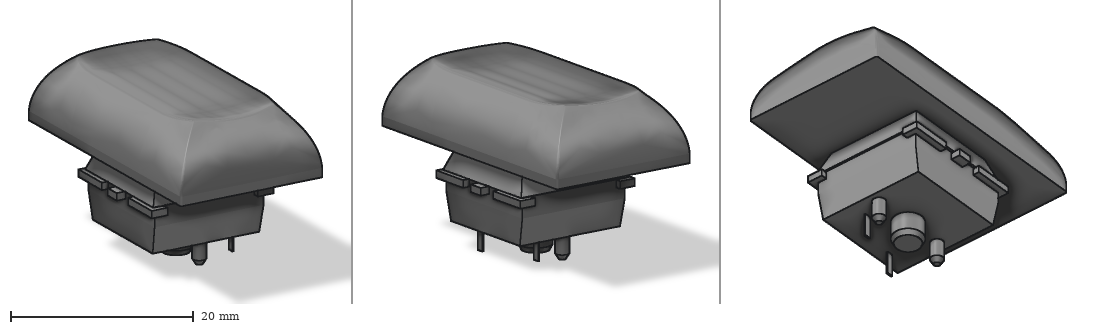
import cadquery as cq
import math

Z_BODY_BOTTOM = 2.9
Z_BODY_BREAK = 6.2
Z_FLANGE_BOTTOM = 7.63
Z_FLANGE_TOP = 8.5
Z_NECK_BOTTOM = 8.6
Z_CAP_BOTTOM = 11.9
Z_CAP_EDGE = 13.0
Z_DOME_BLANK = 20.28

CAP_LENGTH = 32.45
CAP_WIDTH = 18.2
CAP_CORNER_RADIUS = 0.25
STRAIGHT_HALF = 7.15
WALL_RADIUS = 11.03
WALL_LEAN = 3.0
CORNER_INSET_X = 1.36
CORNER_INSET_Y = 1.4
DOME_SECTIONS = 5
MARGIN = 0.32

DISH_FLOOR = 18.98
DISH_RADIUS = 29.2
DISH_END_RADIUS = 27.25
DISH_HALF_WIDTH = 9.75
DISH_TOP = 24.65
DISH_END_ANGLE = 30.0
RIM_FILLET = 0.35

SWITCH_Y = 0.05
NECK_TOP = (11.68, 12.15)
NECK_BASE = (14.47, 14.55)
BODY_TOP = (14.05, 13.95)
BODY_BASE = (12.72, 13.63)
FLANGE_SIDE = 15.58
FLANGE_GAP_X = 5.58
FLANGE_GAP_Y = 11.55
TAB_WIDTH = 1.85
TAB_SPAN = 16.3

POST_DIAMETER = 3.8
POST_TIP_DIAMETER = 3.15
PEG_DIAMETER = 1.6
PEG_TIP_DIAMETER = 0.78
PEG_X = 4.93
TIP_HEIGHT = 0.65
TERMINAL_WIDTH = 0.8
TERMINAL_THICKNESS = 0.2
TERMINALS = [(-3.8, 2.65), (3.05, 5.22)]


def box(size_x, size_y, z_low, z_high):
    """Box centred on the Z axis between two heights."""
    return cq.Workplane("XY").workplane(offset=z_low).rect(size_x, size_y).extrude(z_high - z_low)


def frustum(base, z_base, top, z_top):
    """Rectangular block tapering from a base rectangle to a top rectangle."""
    lower = cq.Workplane("XY").workplane(offset=z_base).rect(*base)
    return lower.workplane(offset=z_top - z_base).rect(*top).loft(ruled=True)


def wall_inset(height):
    """Inward offset of the circular wall profile at a height above the cap edge."""
    lean = math.radians(WALL_LEAN)
    reach = height + WALL_RADIUS * math.sin(lean)
    return WALL_RADIUS * math.cos(lean) - math.sqrt(WALL_RADIUS**2 - reach**2)


def dome_outline(z):
    """Closed outline of the dome: straight long sides, bowed ends and pointed corners."""
    inset = wall_inset(z - Z_CAP_EDGE)
    end_x = CAP_LENGTH / 2 - inset
    side_y = CAP_WIDTH / 2 - inset
    corner_x = CAP_LENGTH / 2 - CORNER_INSET_X * inset
    corner_y = CAP_WIDTH / 2 - CORNER_INSET_Y * inset

    def curve(*points, tangents=None):
        return cq.Edge.makeSpline([cq.Vector(x, y, z) for x, y in points], tangents=tangents)

    def shoulder(sign_x, sign_y):
        start = (sign_x * STRAIGHT_HALF, sign_y * side_y)
        corner = (sign_x * corner_x, sign_y * corner_y)
        slope = 2 * (side_y - corner_y) / (corner_x - STRAIGHT_HALF)
        tangents = [cq.Vector(sign_x, 0, 0), cq.Vector(sign_x, -sign_y * slope, 0)]
        return curve(start, corner, tangents=tangents)

    def straight(sign_y):
        y = sign_y * side_y
        return cq.Edge.makeLine(cq.Vector(-STRAIGHT_HALF, y, z), cq.Vector(STRAIGHT_HALF, y, z))

    def end(sign_x):
        corner = sign_x * corner_x
        return curve((corner, -corner_y), (sign_x * end_x, 0), (corner, corner_y))

    edges = [straight(-1), shoulder(1, -1), end(1), shoulder(1, 1)]
    edges += [straight(1), shoulder(-1, 1), end(-1), shoulder(-1, -1)]
    return cq.Wire.assembleEdges(edges)


def dish_cutter():
    """Trough along X whose two ends curve upwards."""
    edge_z = DISH_FLOOR + DISH_RADIUS - math.sqrt(DISH_RADIUS**2 - DISH_HALF_WIDTH**2)

    def profile():
        section = cq.Workplane("YZ", origin=(STRAIGHT_HALF, 0, 0))
        section = section.moveTo(-DISH_HALF_WIDTH, edge_z)
        section = section.threePointArc((0, DISH_FLOOR), (DISH_HALF_WIDTH, edge_z))
        return section.lineTo(DISH_HALF_WIDTH, DISH_TOP).lineTo(-DISH_HALF_WIDTH, DISH_TOP).close()

    middle = profile().extrude(-2 * STRAIGHT_HALF)
    axis_z = DISH_FLOOR + DISH_END_RADIUS
    end = profile().revolve(DISH_END_ANGLE, (0.32, axis_z, 0), (-0.32, axis_z, 0))
    return middle.union(end).union(end.mirror("YZ"))


def is_upright(edge):
    """True for an edge that climbs from one height to another."""
    return abs(edge.endPoint().z - edge.startPoint().z) > MARGIN


def edges_within(part, near, far):
    """Edges lying entirely inside the box spanned by two points."""
    return part.edges(cq.selectors.BoxSelector(near, far, boundingbox=True))


def keycap():
    plate = box(CAP_LENGTH, CAP_WIDTH, Z_CAP_BOTTOM, Z_CAP_EDGE)
    step = (Z_DOME_BLANK - Z_CAP_EDGE) / (DOME_SECTIONS - 1)
    outlines = [dome_outline(Z_CAP_EDGE + i * step) for i in range(DOME_SECTIONS)]
    cap = plate.union(cq.Workplane(cq.Solid.makeLoft(outlines)))
    low = Z_CAP_BOTTOM - MARGIN
    high = Z_DOME_BLANK + MARGIN
    reach_x = CAP_LENGTH / 2 + MARGIN
    reach_y = CAP_WIDTH / 2 + MARGIN
    for side_x in (-1, 1):
        for side_y in (-1, 1):
            near = (side_x * STRAIGHT_HALF, 0, low)
            far = (side_x * reach_x, side_y * reach_y, high)
            corner = edges_within(cap, near, far).filter(is_upright)
            cap = corner.fillet(CAP_CORNER_RADIUS)
    cap = cap.cut(dish_cutter())
    rim = edges_within(cap, (-reach_x, -reach_y, DISH_FLOOR), (reach_x, reach_y, high))
    return rim.fillet(RIM_FILLET)


def flange():
    """Four corner lugs and a middle tab on each long side."""
    ring = box(FLANGE_SIDE, FLANGE_SIDE, Z_FLANGE_BOTTOM, Z_FLANGE_TOP)
    ring = ring.cut(box(FLANGE_GAP_X, TAB_SPAN, Z_FLANGE_BOTTOM, Z_FLANGE_TOP))
    ring = ring.cut(box(TAB_SPAN, FLANGE_GAP_Y, Z_FLANGE_BOTTOM, Z_FLANGE_TOP))
    return ring.union(box(TAB_WIDTH, TAB_SPAN, Z_FLANGE_BOTTOM, Z_FLANGE_TOP))


def pin(x, diameter, tip_diameter):
    """Round pin below the body with a conical tip."""
    shaft = cq.Workplane("XY", origin=(x, 0, 0)).circle(diameter / 2).extrude(Z_BODY_BOTTOM)
    return shaft.faces("<Z").chamfer(TIP_HEIGHT, (diameter - tip_diameter) / 2)


def switch():
    solid = frustum(BODY_BASE, Z_BODY_BOTTOM, BODY_TOP, Z_BODY_BREAK)
    solid = solid.union(box(*BODY_TOP, Z_BODY_BREAK, Z_NECK_BOTTOM))
    solid = solid.union(frustum(NECK_BASE, Z_NECK_BOTTOM, NECK_TOP, Z_CAP_BOTTOM))
    solid = solid.union(flange())
    solid = solid.union(pin(0, POST_DIAMETER, POST_TIP_DIAMETER))
    for x in (-PEG_X, PEG_X):
        solid = solid.union(pin(x, PEG_DIAMETER, PEG_TIP_DIAMETER))
    for x, y in TERMINALS:
        blade = box(TERMINAL_WIDTH, TERMINAL_THICKNESS, 0, Z_BODY_BOTTOM)
        solid = solid.union(blade.translate((x, y, 0)))
    return solid.translate((0, SWITCH_Y, 0))


result = keycap().union(switch())